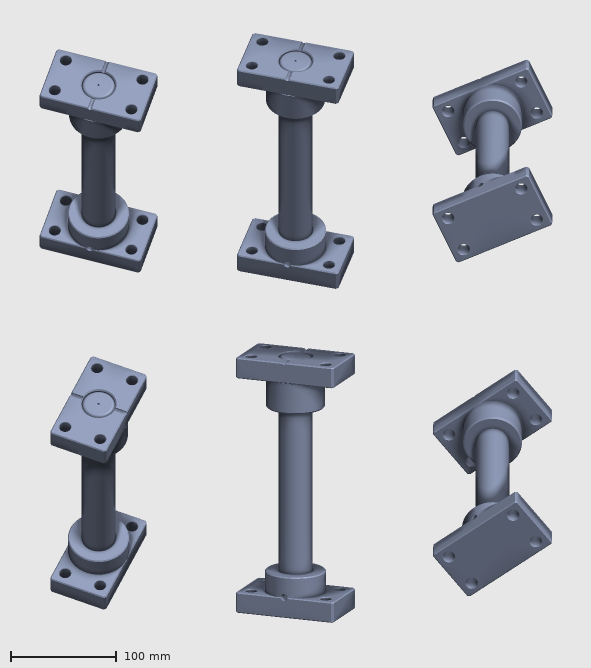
import cadquery as cq

total_height = 250.6

plate_length = 100.0
plate_width = 58.0
plate_thickness = 20.0
corner_chamfer = 2.0
edge_chamfer = 1.0
bolt_hole_diameter = 11.0
bolt_hole_chamfer = 0.5
bolt_spacing_x = 76.0
bolt_spacing_y = 36.0

lower_collar_diameter = plate_width
lower_collar_height = 20.0
upper_collar_diameter = 56.0
upper_collar_height = 30.0
lower_collar_chamfer = 1.0
upper_collar_chamfer = 1.3
lower_relief_width = 1.5
lower_relief_depth = 0.5
upper_flare_width = 1.0
upper_flare_height = 0.5

vent_groove_radius = 2.0
oil_hole_diameter = 6.8

shaft_diameter = 31.8
shaft_end_fillet = 3.5
shaft_recess = 0.5
center_hole_diameter = 2.0
center_hole_depth = 2.0
bore_chamfer = 1.3


def cylinder(diameter, bottom, height):
    """Upright cylinder on the Z axis."""
    return cq.Workplane("XY").workplane(offset=bottom).circle(diameter / 2).extrude(height)


def make_plate(bottom):
    """Chamfered plate with four bolt holes chamfered at both ends."""
    plate = (
        cq.Workplane("XY")
        .workplane(offset=bottom)
        .rect(plate_length, plate_width)
        .extrude(plate_thickness)
        .edges("|Z")
        .chamfer(corner_chamfer)
        .faces("<Z or >Z")
        .chamfer(edge_chamfer)
    )
    plate = (
        plate.faces(">Z")
        .workplane(origin=(0, 0, 0))
        .rect(bolt_spacing_x, bolt_spacing_y, forConstruction=True)
        .vertices()
        .hole(bolt_hole_diameter)
    )
    return plate.faces("<Z or >Z").edges("%CIRCLE").chamfer(bolt_hole_chamfer)


def cut_bore(holder, top):
    """Cut the shaft bore through the holder, flared at its upper rim at height top."""
    rim_cone = cq.Solid.makeCone(
        shaft_diameter / 2,
        shaft_diameter / 2 + bore_chamfer,
        bore_chamfer,
        pnt=cq.Vector(0, 0, top - bore_chamfer),
    )
    return holder.cut(cylinder(shaft_diameter, 0, total_height)).cut(cq.Workplane(rim_cone))


def y_channel(radius, height):
    """Round bar along Y, reaching past both plate edges at the given height."""
    start = cq.Vector(0, -plate_width, height)
    return cq.Workplane(cq.Solid.makeCylinder(radius, 2 * plate_width, start, cq.Vector(0, 1, 0)))


def make_lower_collar():
    """Standing collar with a chamfered top edge."""
    collar = cylinder(lower_collar_diameter, plate_thickness, lower_collar_height)
    return collar.faces(">Z").chamfer(lower_collar_chamfer)


def make_relief_ring():
    """Ring of triangular section for the shallow groove around the lower collar."""
    radius = lower_collar_diameter / 2
    return (
        cq.Workplane("XZ")
        .moveTo(radius, plate_thickness)
        .lineTo(radius + lower_relief_width, plate_thickness)
        .lineTo(radius, plate_thickness - lower_relief_depth)
        .close()
        .revolve()
    )


def make_lower_holder():
    """Base plate with its grooved collar and the oil hole along their joint."""
    plate = make_plate(0).cut(make_relief_ring())
    collar_top = plate_thickness + lower_collar_height
    holder = cut_bore(plate.union(make_lower_collar()), collar_top)
    return holder.cut(y_channel(oil_hole_diameter / 2, plate_thickness))


def make_upper_collar():
    """Hanging collar with a chamfered foot and a small conical flare under the plate."""
    root = total_height - plate_thickness
    radius = upper_collar_diameter / 2
    foot = root - upper_collar_height
    return (
        cq.Workplane("XZ")
        .moveTo(0, foot)
        .lineTo(radius - upper_collar_chamfer, foot)
        .lineTo(radius, foot + upper_collar_chamfer)
        .lineTo(radius, root - upper_flare_height)
        .lineTo(radius + upper_flare_width, root)
        .lineTo(0, root)
        .close()
        .revolve()
    )


def make_upper_holder():
    """Top plate with its hanging collar and the vent groove across its top."""
    plate = make_plate(total_height - plate_thickness)
    holder = cut_bore(plate.union(make_upper_collar()), total_height)
    return holder.cut(y_channel(vent_groove_radius, total_height))


def make_shaft():
    """Pillar with a rounded upper end and a small center hole."""
    shaft = cylinder(shaft_diameter, 0, total_height - shaft_recess)
    shaft = shaft.faces(">Z").edges().fillet(shaft_end_fillet)
    return shaft.faces(">Z").workplane().hole(center_hole_diameter, center_hole_depth)


lower_holder = make_lower_holder()
upper_holder = make_upper_holder()
shaft = make_shaft()

result = cq.Compound.makeCompound([lower_holder.val(), upper_holder.val(), shaft.val()])